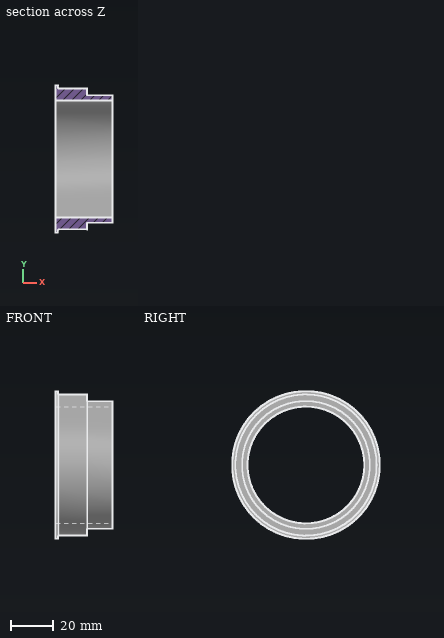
import cadquery as cq

total_length = 27.0
flange_thickness = 1.3
body_end = 15.0

flange_radius = 69.8 / 2
body_radius = 66.6 / 2
spigot_radius = 60.3 / 2
bore_radius = 55.0 / 2

rim_round = 0.3
root_round = 0.3


section = (
    cq.Workplane("XY")
    .moveTo(0, bore_radius)
    .lineTo(0, flange_radius)
    .lineTo(flange_thickness - rim_round, flange_radius)
    .radiusArc((flange_thickness, flange_radius - rim_round), rim_round)
    .lineTo(flange_thickness, body_radius + root_round)
    .radiusArc((flange_thickness + root_round, body_radius), -root_round)
    .lineTo(body_end, body_radius)
    .lineTo(body_end, spigot_radius)
    .lineTo(total_length, spigot_radius)
    .lineTo(total_length, bore_radius)
    .close()
)

result = section.revolve(360, (0, 0, 0), (1, 0, 0))